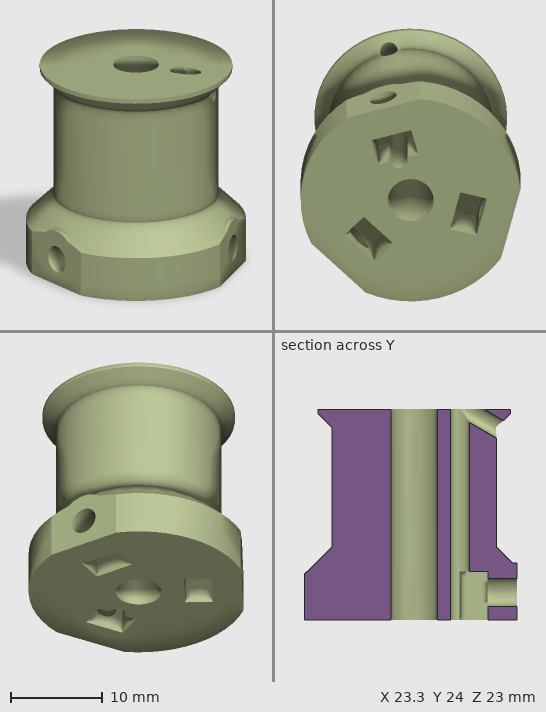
import cadquery as cq
import math

base_radius = 12.0
drum_radius = 9.0
flange_radius = 21.0 / 2
total_height = 23.0
base_height = 5.0
flange_rim_height = 0.5
shoulder_height = base_height + base_radius - drum_radius
rim_start = total_height - flange_rim_height
drum_top = rim_start - (flange_radius - drum_radius)

center_hole_diameter = 5.0

station_angles = (0, 120, 240)
flat_distance = 11.25
screw_height = 3.0
screw_hole_diameter = 3.0
boss_radius = 3.26

slot_inner_distance = 5.0
slot_outer_distance = 8.0
slot_width = 4.5
slot_height = screw_height + slot_width / 2

cord_hole_diameter = 2.0
cord_hole_x = 5.0
cord_branch_slope = 30
cord_branch_length = base_radius


def turned_body():
    """Solid of revolution: base, shoulder, drum and top flange."""
    return (
        cq.Workplane("XZ")
        .polyline([
            (0, 0),
            (base_radius, 0),
            (base_radius, base_height),
            (drum_radius, shoulder_height),
            (drum_radius, drum_top),
            (flange_radius, rim_start),
            (flange_radius, total_height),
            (0, total_height),
        ])
        .close()
        .revolve(360, (0, 0, 0), (0, 1, 0))
    )


def radial_cylinder(radius, start, end, angle):
    """Horizontal cylinder at screw height, pointing outward at the given angle."""
    return (
        cq.Workplane("YZ", origin=(start, 0, screw_height))
        .circle(radius)
        .extrude(end - start)
        .rotate((0, 0, 0), (0, 0, 1), angle)
    )


def flat_cutter(angle):
    """Block lying outside one flat of the base, as tall as the shoulder."""
    return (
        cq.Workplane("XY")
        .box(base_radius, 2 * base_radius, shoulder_height, centered=(False, True, False))
        .translate((flat_distance, 0, 0))
        .rotate((0, 0, 0), (0, 0, 1), angle)
    )


def nut_slot(angle):
    """Rectangular pocket rising from the underside, square to the screw hole."""
    slot_thickness = slot_outer_distance - slot_inner_distance
    return (
        cq.Workplane("XY")
        .box(slot_thickness, slot_width, slot_height, centered=(False, True, False))
        .translate((slot_inner_distance, 0, 0))
        .rotate((0, 0, 0), (0, 0, 1), angle)
    )


def cord_hole():
    """Vertical hole with a branch sloping down and out to the corner under the flange."""
    radius = cord_hole_diameter / 2
    vertical = cq.Workplane("XY").center(cord_hole_x, 0).circle(radius).extrude(total_height)
    slope = math.radians(cord_branch_slope)
    branch_top = drum_top + (drum_radius - cord_hole_x) * math.tan(slope)
    mouth = cq.Vector(cord_hole_x, 0, branch_top)
    outward = cq.Vector(math.cos(slope), 0, -math.sin(slope))
    branch = cq.Solid.makeCylinder(radius, cord_branch_length, mouth, outward)
    return vertical.union(cq.Workplane(branch))


result = turned_body()

for angle in station_angles:
    result = result.cut(flat_cutter(angle))
    result = result.union(radial_cylinder(boss_radius, slot_outer_distance, flat_distance, angle))

result = result.intersect(cq.Workplane("XY").circle(base_radius).extrude(total_height))

result = result.cut(cq.Workplane("XY").circle(center_hole_diameter / 2).extrude(total_height))
result = result.cut(cord_hole())

for angle in station_angles:
    result = result.cut(nut_slot(angle))
    result = result.cut(radial_cylinder(screw_hole_diameter / 2, slot_inner_distance, base_radius, angle))